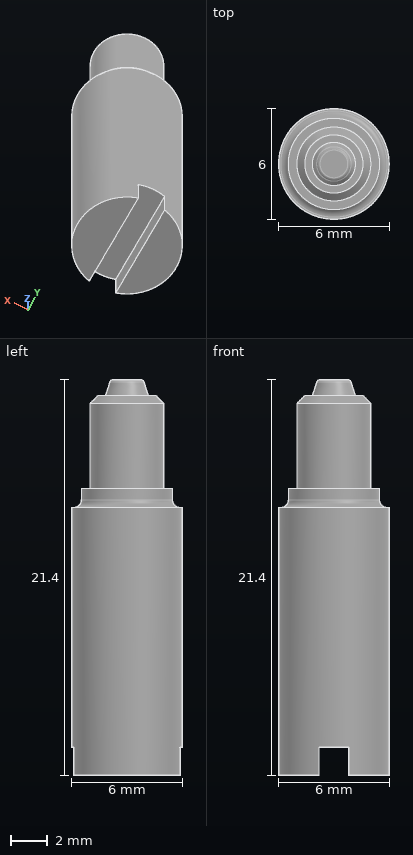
import cadquery as cq
import math

total_height = 21.4

barrel_diameter = 6.0
barrel_height = 14.49
collar_diameter = 4.95
collar_height = 1.03
collar_fillet = 0.4
slot_width = 1.6
slot_depth = 1.52

shank_diameter = 4.0
shank_chamfer = 0.43
tip_height = 0.85
tip_half_angle = 18.0
tip_flat_diameter = 1.5
tip_edge_radius = 0.2

barrel_radius = barrel_diameter / 2
collar_radius = collar_diameter / 2
collar_top = barrel_height + collar_height
pin_seat = barrel_height
shank_height = total_height - tip_height - pin_seat

tip_edge_setback = tip_edge_radius * math.tan(math.radians(90 - tip_half_angle) / 2)
tip_sharp_radius = tip_flat_diameter / 2 + tip_edge_setback
tip_base_radius = tip_sharp_radius + tip_height * math.tan(math.radians(tip_half_angle))


def make_housing():
    """Slotted barrel and collar with a blind hole for the pin."""
    fillet_foot = (collar_radius + collar_fillet, barrel_height)
    fillet_top = (collar_radius, barrel_height + collar_fillet)
    fillet_sag = collar_fillet * (1 - math.sqrt(0.5))
    fillet_middle = (collar_radius + fillet_sag, barrel_height + fillet_sag)
    body = (
        cq.Workplane("XZ")
        .lineTo(barrel_radius, 0)
        .lineTo(barrel_radius, barrel_height)
        .lineTo(*fillet_foot)
        .threePointArc(fillet_middle, fillet_top)
        .lineTo(collar_radius, collar_top)
        .lineTo(0, collar_top)
        .close()
        .revolve(360, (0, 0, 0), (0, 1, 0))
    )
    slot = cq.Workplane("XY").box(slot_width, barrel_diameter, slot_depth, centered=(True, True, False))
    pin_hole = (
        cq.Workplane("XY")
        .workplane(offset=pin_seat)
        .circle(shank_diameter / 2)
        .extrude(collar_top - pin_seat)
    )
    return body.cut(slot).cut(pin_hole)


def make_pin():
    """Chamfered shank carrying a conical tip with a rounded end."""
    shank = (
        cq.Workplane("XY")
        .workplane(offset=pin_seat)
        .circle(shank_diameter / 2)
        .extrude(shank_height)
        .faces(">Z")
        .edges()
        .chamfer(shank_chamfer)
    )
    tip = (
        cq.Workplane("XY")
        .workplane(offset=total_height - tip_height)
        .circle(tip_base_radius)
        .workplane(offset=tip_height)
        .circle(tip_sharp_radius)
        .loft()
        .faces(">Z")
        .edges()
        .fillet(tip_edge_radius)
    )
    return shank.union(tip)


housing = make_housing()
pin = make_pin()
result = cq.Compound.makeCompound([housing.val(), pin.val()])